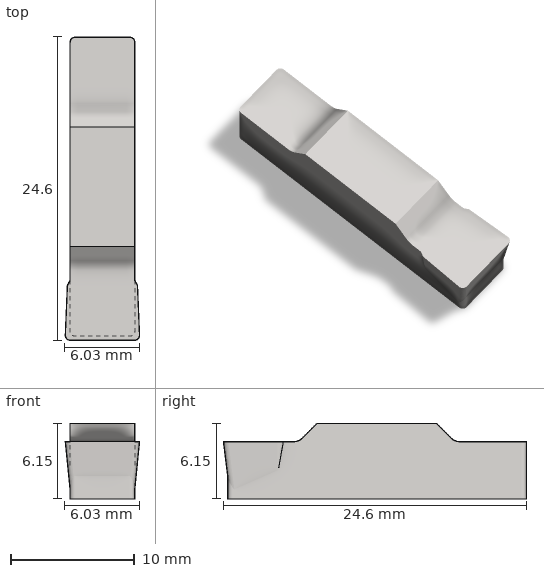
import cadquery as cq
import math

length = 24.55
height = 6.15
shank_width = 5.25
edge_width = 6.07
shelf_height = 4.67

crest_front = 7.6
crest_back = 17.27
ramp_run = height - shelf_height
ramp_fillet = 0.98

front_relief = math.radians(7)
side_relief = math.radians(5.4)
neck_y = 4.45
neck_width = 5.7
shoulder_y = 4.86
corner_radius = 0.42
neck_radius = 0.2

shank_front = 0.35


def make_shank():
    """Block with rounded upright corners and a raised middle."""
    profile = [
        (shank_front, 0),
        (length, 0),
        (length, shelf_height),
        (crest_back + ramp_run, shelf_height),
        (crest_back, height),
        (crest_front, height),
        (crest_front - ramp_run, shelf_height),
        (shank_front, shelf_height),
    ]
    shank = cq.Workplane("YZ").polyline(profile).close().extrude(shank_width / 2, both=True)
    shank = shank.edges("|Z").fillet(corner_radius)
    for foot_y in (crest_front - ramp_run, crest_back + ramp_run):
        foot = cq.selectors.NearestToPointSelector((0, foot_y, shelf_height))
        shank = shank.edges(foot).fillet(ramp_fillet)
    return shank


def head_outline(depth):
    """Corners of the head at a given depth below the cutting edge."""
    side_inset = depth * math.tan(side_relief)
    front_y = depth * math.tan(front_relief)
    side_taper = (edge_width - neck_width) / 2 / neck_y
    front_x = edge_width / 2 - side_taper * front_y - side_inset
    neck_x = neck_width / 2 - side_inset
    shoulder_x = shank_width / 2 - side_inset
    right = [(front_x, front_y), (neck_x, neck_y), (shoulder_x, shoulder_y)]
    left = [(-x, y) for x, y in reversed(right)]
    return right + left


def make_head():
    """Head with relief on its front and sides, narrowing into the shank."""
    head = (
        cq.Workplane("XY")
        .polyline(head_outline(shelf_height)).close()
        .workplane(offset=shelf_height)
        .polyline(head_outline(0)).close()
        .loft(ruled=True, combine=True)
    )
    upright_edges = head.edges("not #Z")
    neck_edges = upright_edges.filter(lambda edge: abs(edge.Center().y - neck_y) < neck_radius)
    head = neck_edges.fillet(neck_radius)
    for side in (-1, 1):
        corner = cq.selectors.NearestToPointSelector((side * edge_width / 2, 0, shelf_height / 2))
        head = head.edges(corner).fillet(corner_radius)
    return head


result = make_shank().union(make_head())